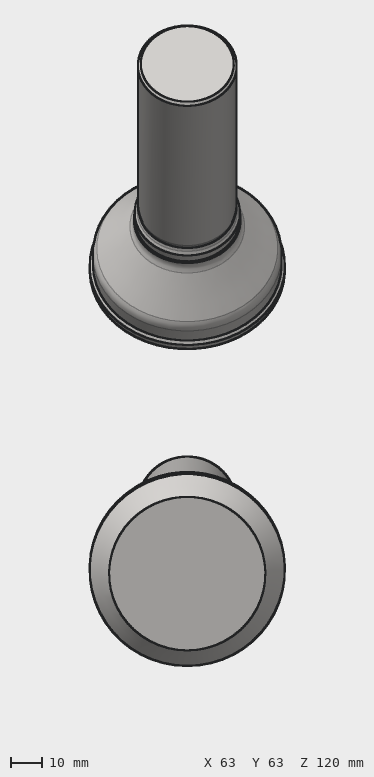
import cadquery as cq
import math

total_height = 120.0

rim_radius = 31.5
rim_bottom_radius = 25.2
rim_bottom_cone_height = 6.2
rim_height = 9.6

head_radius = 61.0 / 2
head_band_top = 14.9
bell_angle = math.radians(42)
bell_blend_radius = 5.0
neck_radius = 34.5 / 2
neck_bottom = 33.6
neck_top = 34.0

collar_radius = 34.0 / 2
collar_bottom = 34.6
collar_top = 37.8
collar_bevel_top = 38.9
collar_bevel_radius = 16.2
groove_radius = 31.3 / 2
groove_bottom = 40.1
groove_top = 40.8

shank_radius = 31.9 / 2
shank_bottom = 41.9
shank_chamfer = 1.0


def blend_offset(angle):
    """Radial and axial travel along a blend arc that starts parallel to the axis."""
    radial = bell_blend_radius * (1 - math.cos(angle))
    axial = bell_blend_radius * math.sin(angle)
    return radial, axial


def make_rim():
    """Solid disc with a conical underside and a bevel up to the head's diameter."""
    bevel = rim_radius - head_radius
    return (
        cq.Workplane("XZ")
        .lineTo(rim_bottom_radius, 0)
        .lineTo(rim_radius, rim_bottom_cone_height)
        .lineTo(rim_radius, rim_height - bevel)
        .lineTo(head_radius, rim_height)
        .lineTo(0, rim_height)
        .close()
        .revolve(360, (0, 0, 0), (0, 1, 0))
    )


def make_holder():
    """Bell-shaped head, collar and shank in one turned piece, seated on the rim disc."""
    mid_radial, mid_axial = blend_offset(bell_angle / 2)
    end_radial, end_axial = blend_offset(bell_angle)
    return (
        cq.Workplane("XZ")
        .moveTo(0, rim_height)
        .lineTo(head_radius, rim_height)
        .lineTo(head_radius, head_band_top)
        .threePointArc(
            (head_radius - mid_radial, head_band_top + mid_axial),
            (head_radius - end_radial, head_band_top + end_axial),
        )
        .lineTo(neck_radius + end_radial, neck_bottom - end_axial)
        .threePointArc(
            (neck_radius + mid_radial, neck_bottom - mid_axial),
            (neck_radius, neck_bottom),
        )
        .lineTo(neck_radius, neck_top)
        .lineTo(collar_radius, collar_bottom)
        .lineTo(collar_radius, collar_top)
        .lineTo(collar_bevel_radius, collar_bevel_top)
        .lineTo(groove_radius, groove_bottom)
        .lineTo(groove_radius, groove_top)
        .lineTo(shank_radius, shank_bottom)
        .lineTo(shank_radius, total_height - shank_chamfer)
        .lineTo(shank_radius - shank_chamfer, total_height)
        .lineTo(0, total_height)
        .close()
        .revolve(360, (0, 0, 0), (0, 1, 0))
    )


rim = make_rim()
holder = make_holder()

result = cq.Compound.makeCompound([rim.val(), holder.val()])